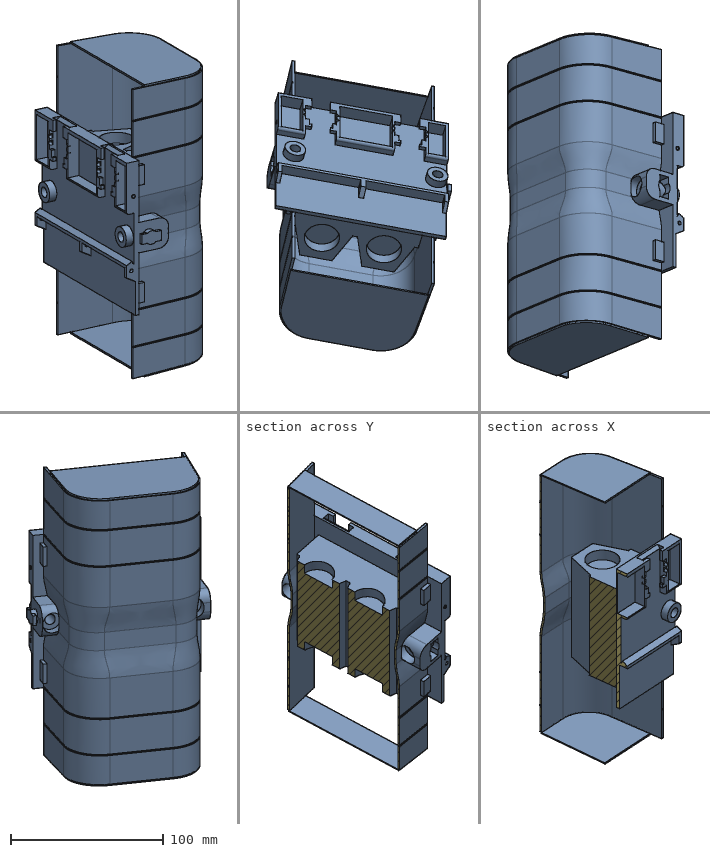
import cadquery as cq
import math

base_half_width = 57.5
base_half_height = 54.2
plate_back_y = 9.5
plate_front_y = 5.5
lower_front_y = 6.8

rail_bottom_z = 17.9
rail_edge_radius = 1.8
pocket_bottom_z = 20.0
pocket_top_z = 51.5
pocket_depth = 8.5
pocket_spans = [(-55.5, -40.9), (-16.0, 19.7), (44.0, 55.5)]

gap_centres = [-28.5, 31.6]
gap_half = 10.5
gap_mouth_half = 6.4
gap_ledge_half = 7.8
gap_tooth_half = 12.0
lower_lip_bottom_z = 25.3
lower_lip_top_z = 28.0
ledge_top_z = 32.7
tooth_centre_zs = [37.0, 41.7]
tooth_half_height = 1.6
upper_lip_bottom_z = 46.2
lip_depth = 2.5
gap_chamfer_height = 2.0
gap_chamfer_back_y = 8.0

hook_tip_y = 4.1
hook_tip_z = -15.6
hook_root_z = -17.9
hook_bar_bottom_z = -20.1
hook_tab_front_z = -26.7
hook_tab_bottom_z = -30.5
end_tab_width = 2.7
middle_tab_width = 3.5
hook_hole_y = 3.7
hook_hole_z = -22.2
hook_hole_diameter = 2.5

lug_half_height = 10.7
lug_back_y = 32.5
lug_inner_offset = 19.0
lug_corner_radius = 7.4
bushing_outer_diameter = 14.0
bushing_bore = 7.0
bushing_back_y = lug_back_y - lug_corner_radius
bushing_offset = 48.0
key_centre_y = 16.8
key_diameter = 9.5
key_bar_length = 15.0
key_bar_width = 7.0
key_clearance = 0.2
keyhole_depth = 8.2
key_shaft_length = 1.8
key_head_thickness = 2.3

nub_y = 5.1
nub_z = 30.0
nub_diameter = 2.5
nub_length = 0.6

cover_centre_x = 2.0
cover_front_half = 48.0
cover_side_half = 46.2
cover_back_y = 75.2
cover_corner_radius = 24.7
wall = 1.8
waist_inset = 2.9
waist_radius_loss = 5.8
waist_half_height = 6.4
ramp_end_z = 25.0
ramp_steps = 4
groove_heights = [53.8, 79.5]
groove_width = 0.8
groove_depth = 0.6
catch_half_width = 50.5
catch_back_y = 16.6
catch_bottom_z = 34.5
catch_top_z = 48.3

total_half_height = 102.7
end_plate_thickness = 1.2
end_plate_inset = 1.0
end_plate_front_y = 19.3
rim_front_z = total_half_height - end_plate_thickness
rim_back_z = 100.3

block_half_width = 42.7
block_half_height = 38.8
block_body_y = 32.9
block_back_y = 56.5
terminal_offset = 21.0
terminal_front_half = 19.3
terminal_back_half = 10.9
terminal_hole_y = 39.0
terminal_hole_diameter = 23.0
terminal_hole_depth = 7.5

lug_sides = (-1, 1)
bushing_xs = [cover_centre_x - bushing_offset, cover_centre_x + bushing_offset]


def box(x_range, y_range, z_range):
    """Box between the given limits along each axis."""
    size = [high - low for low, high in (x_range, y_range, z_range)]
    corner = cq.Vector(x_range[0], y_range[0], z_range[0])
    return cq.Workplane(obj=cq.Solid.makeBox(*size, corner))


def yz_prism(points, x_min, x_max):
    """Prism along X with a polygonal YZ section."""
    return cq.Workplane("YZ", origin=(x_min, 0, 0)).polyline(points).close().extrude(x_max - x_min)


def x_cylinder(x_min, x_max, y, z, diameter):
    return cq.Workplane("YZ", origin=(x_min, y, z)).circle(diameter / 2).extrude(x_max - x_min)


def y_cylinder(y_min, y_max, x, z, diameter):
    return cq.Workplane("XZ", origin=(x, y_min, z)).circle(diameter / 2).extrude(y_min - y_max)


def mirrored_pair(shape):
    """The shape together with its mirror image below Z = 0."""
    return shape.union(shape.mirror("XY"))


def rail_gap(centre_x):
    """Gap through the rail: a stepped and toothed mouth in front of a plain wide slot."""
    right_side = [
        (gap_half, rail_bottom_z),
        (gap_half, lower_lip_bottom_z),
        (gap_mouth_half, lower_lip_bottom_z),
        (gap_mouth_half, lower_lip_top_z),
        (gap_ledge_half, lower_lip_top_z),
        (gap_ledge_half, ledge_top_z),
        (gap_half, ledge_top_z),
    ]
    for z in tooth_centre_zs:
        right_side += [
            (gap_half, z - tooth_half_height),
            (gap_tooth_half, z),
            (gap_half, z + tooth_half_height),
        ]
    right_side += [
        (gap_half, upper_lip_bottom_z),
        (gap_mouth_half, upper_lip_bottom_z),
        (gap_mouth_half, base_half_height),
    ]
    left_side = [(-x, z) for x, z in reversed(right_side)]
    mouth = cq.Workplane("XZ", origin=(centre_x, 0, 0)).polyline(right_side + left_side).close()
    mouth = mouth.extrude(-lip_depth)

    x_min = centre_x - gap_half
    x_max = centre_x + gap_half
    slot = box((x_min, x_max), (lip_depth, plate_front_y), (rail_bottom_z, base_half_height))
    chamfer_section = [
        (plate_front_y, base_half_height - gap_chamfer_height),
        (gap_chamfer_back_y, base_half_height),
        (plate_front_y, base_half_height),
    ]
    return mouth.union(slot).union(yz_prism(chamfer_section, x_min, x_max))


def make_rail():
    full_width = (-base_half_width, base_half_width)
    rail = box(full_width, (0, plate_back_y), (rail_bottom_z, base_half_height))
    rail = rail.edges("|X and <Y and <Z").fillet(rail_edge_radius)
    for x_range in pocket_spans:
        rail = rail.cut(box(x_range, (0, pocket_depth), (pocket_bottom_z, pocket_top_z)))
    for centre_x in gap_centres:
        rail = rail.cut(rail_gap(centre_x))
    return rail


def make_hook():
    """Bar with a raised front lip, and three drilled tabs below it."""
    top_edge = [
        (plate_back_y, hook_root_z),
        (plate_front_y, hook_root_z),
        (hook_tip_y, hook_tip_z),
        (0, hook_root_z),
    ]
    bar_section = top_edge + [(0, hook_bar_bottom_z), (plate_back_y, hook_bar_bottom_z)]
    tab_section = top_edge + [
        (0, hook_tab_front_z),
        (lower_front_y, hook_tab_bottom_z),
        (plate_back_y, hook_tab_bottom_z),
    ]
    tab_spans = [
        (-base_half_width, -base_half_width + end_tab_width),
        (-middle_tab_width / 2, middle_tab_width / 2),
        (base_half_width - end_tab_width, base_half_width),
    ]
    hook = yz_prism(bar_section, -base_half_width, base_half_width)
    for x_min, x_max in tab_spans:
        hook = hook.union(yz_prism(tab_section, x_min, x_max))
    hole = x_cylinder(-base_half_width, base_half_width, hook_hole_y, hook_hole_z, hook_hole_diameter)
    return hook.cut(hole)


def make_lug(side):
    """Side lug with its two back edges rounded; side is -1 or +1 along X."""
    outer_x = side * base_half_width
    inner_x = side * (base_half_width - lug_inner_offset)
    x_range = (min(outer_x, inner_x), max(outer_x, inner_x))
    lug = box(x_range, (plate_back_y, lug_back_y), (-lug_half_height, lug_half_height))
    return lug.edges("|X and >Y").fillet(lug_corner_radius)


def key_shape(x_min, length, clearance, bar_direction):
    """Round key with a bar across it; the bar lies along Y at 0 degrees and along Z at 90."""
    plane = cq.Workplane("YZ", origin=(x_min, key_centre_y, 0))
    disc = plane.circle(key_diameter / 2 + clearance).extrude(length)
    bar = plane.transformed(rotate=(0, 0, bar_direction))
    bar = bar.rect(key_bar_length + 2 * clearance, key_bar_width + 2 * clearance).extrude(length)
    return disc.union(bar)


def make_base():
    full_width = (-base_half_width, base_half_width)
    thickness = (plate_front_y, plate_back_y)
    base = box(full_width, thickness, (hook_root_z, rail_bottom_z))
    base = base.union(box(full_width, (lower_front_y, plate_back_y), (-base_half_height, hook_root_z)))
    base = base.union(make_rail()).union(make_hook())
    for side in lug_sides:
        base = base.union(make_lug(side))
    for x in bushing_xs:
        base = base.cut(y_cylinder(plate_front_y, lug_back_y, x, 0, bushing_outer_diameter))
    base = base.cut(key_shape(-base_half_width, keyhole_depth, key_clearance, 90))
    base = base.cut(x_cylinder(-base_half_width, -base_half_width + nub_length, nub_y, nub_z, nub_diameter))
    nub = x_cylinder(base_half_width, base_half_width + nub_length, nub_y, nub_z, nub_diameter)
    return base.union(nub)


def make_bushing(x):
    sleeve = y_cylinder(0, bushing_back_y, x, 0, bushing_outer_diameter)
    return sleeve.cut(y_cylinder(0, bushing_back_y, x, 0, bushing_bore))


def make_coupling_key():
    shaft_end = base_half_width + key_shaft_length
    shaft = x_cylinder(base_half_width, shaft_end, key_centre_y, 0, key_diameter)
    return shaft.union(key_shape(shaft_end, key_head_thickness, 0, 0))


def cover_outline(z, inset, corner_radius):
    """Arched section: drafted sides and a flat back joined by round corners."""
    front_half = cover_front_half - inset
    side_half = cover_side_half - inset
    back_y = cover_back_y - inset
    side_y = back_y - corner_radius
    flat_half = side_half - corner_radius
    mid_x = flat_half + corner_radius * math.sqrt(0.5)
    mid_y = side_y + corner_radius * math.sqrt(0.5)
    return (
        cq.Workplane("XY", origin=(cover_centre_x, 0, z))
        .moveTo(-front_half, plate_back_y)
        .lineTo(-side_half, side_y)
        .threePointArc((-mid_x, mid_y), (-flat_half, back_y))
        .lineTo(flat_half, back_y)
        .threePointArc((mid_x, mid_y), (side_half, side_y))
        .lineTo(front_half, plate_back_y)
        .close()
    )


def cover_volume(extra_inset):
    """Solid cover form, waisted about Z = 0; extra_inset moves the whole surface inwards."""

    def section(z, waisting):
        radius_loss = waist_radius_loss * waisting / waist_inset
        radius = cover_corner_radius - radius_loss - extra_inset
        return cover_outline(z, waisting + extra_inset, radius)

    volume = section(-waist_half_height, waist_inset).extrude(2 * waist_half_height)
    end = section(ramp_end_z, 0).extrude(total_half_height - ramp_end_z)
    volume = volume.union(mirrored_pair(end))

    sections = []
    for step in range(ramp_steps + 1):
        share = step / ramp_steps
        z = waist_half_height + share * (ramp_end_z - waist_half_height)
        waisting = waist_inset * (1 + math.cos(math.pi * share)) / 2
        sections.append(section(z, waisting).wire().val())
    ramp = cq.Workplane(obj=cq.Solid.makeLoft(sections))
    return volume.union(mirrored_pair(ramp))


def rim_z(y):
    """Height of the sloping cover rim."""
    share = (y - end_plate_front_y) / (cover_back_y - end_plate_front_y)
    return rim_front_z + share * (rim_back_z - rim_front_z)


def make_cover():
    cover = cover_volume(0).cut(cover_volume(wall))

    catch_x = (cover_centre_x - catch_half_width, cover_centre_x + catch_half_width)
    catches = box(catch_x, (plate_back_y, catch_back_y), (catch_bottom_z, catch_top_z))
    catches = catches.cut(cover_volume(wall / 2))
    cover = cover.union(mirrored_pair(catches))

    for z in groove_heights:
        bottom_z = z - groove_width / 2
        outside = cover_outline(bottom_z, -groove_depth, cover_corner_radius).extrude(groove_width)
        inside = cover_outline(bottom_z, groove_depth, cover_corner_radius - groove_depth)
        cover = cover.cut(mirrored_pair(outside.cut(inside.extrude(groove_width))))

    above_rim = [
        (plate_back_y, rim_z(plate_back_y)),
        (cover_back_y, rim_z(cover_back_y)),
        (cover_back_y, total_half_height),
        (plate_back_y, total_half_height),
    ]
    cover = cover.cut(mirrored_pair(yz_prism(above_rim, -base_half_width, base_half_width)))
    for side in lug_sides:
        cover = cover.cut(make_lug(side))
    return cover


def make_end_plate():
    slab_section = [
        (end_plate_front_y, rim_z(end_plate_front_y)),
        (cover_back_y, rim_z(cover_back_y)),
        (cover_back_y, rim_z(cover_back_y) + end_plate_thickness),
        (end_plate_front_y, total_half_height),
    ]
    slab = yz_prism(slab_section, -base_half_width, base_half_width)
    outline = cover_outline(0, end_plate_inset, cover_corner_radius - end_plate_inset)
    return slab.intersect(outline.extrude(total_half_height))


def make_terminal_block():
    """Block with two tapered terminal housings, each with a blind round well at both ends."""
    x_range = (cover_centre_x - block_half_width, cover_centre_x + block_half_width)
    block = box(x_range, (plate_back_y, block_body_y), (-block_half_height, block_half_height))
    centres = [cover_centre_x - terminal_offset, cover_centre_x + terminal_offset]
    for x in centres:
        housing_points = [
            (x - terminal_front_half, block_body_y),
            (x - terminal_back_half, block_back_y),
            (x + terminal_back_half, block_back_y),
            (x + terminal_front_half, block_body_y),
        ]
        housing = cq.Workplane("XY", origin=(0, 0, -block_half_height)).polyline(housing_points).close()
        block = block.union(housing.extrude(2 * block_half_height))
    for x in centres:
        well = cq.Workplane("XY", origin=(x, terminal_hole_y, block_half_height))
        well = well.circle(terminal_hole_diameter / 2).extrude(-terminal_hole_depth)
        block = block.cut(mirrored_pair(well))
    for side in lug_sides:
        block = block.cut(make_lug(side))
    for x in bushing_xs:
        block = block.cut(y_cylinder(plate_back_y, bushing_back_y, x, 0, bushing_outer_diameter))
    return block.intersect(cover_volume(wall))


base = make_base()
cover = make_cover()
terminal_block = make_terminal_block()
coupling_key = make_coupling_key()
bushings = [make_bushing(x) for x in bushing_xs]
top_plate = make_end_plate()
end_plates = [top_plate, top_plate.mirror("XY")]

result = cq.Compound.makeCompound(
    [
        base.val(),
        cover.val(),
        terminal_block.val(),
        coupling_key.val(),
        *[bushing.val() for bushing in bushings],
        *[end_plate.val() for end_plate in end_plates],
    ]
)